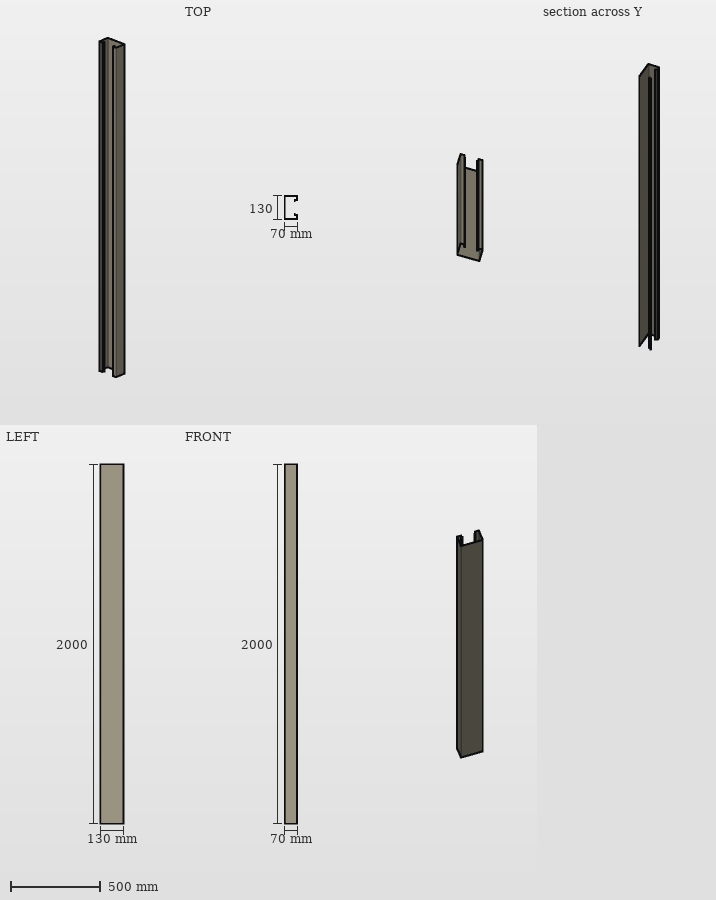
import cadquery as cq

depth = 70.0
width = 130.0
length = 2000.0
wall = 2.0
bend_inner_radius = 1.0
bend_outer_radius = bend_inner_radius + wall
lip_width = 25.0
return_depth = 15.0
tip_width = 8.0

half_width = width / 2
inner_half_width = half_width - wall
inner_depth = depth - wall
lip_edge_y = half_width - lip_width
return_inner_y = lip_edge_y + wall
return_edge_x = depth - return_depth
tip_edge_y = return_inner_y - tip_width

half_section = [
    (0, 0),
    (0, half_width),
    (depth, half_width),
    (depth, lip_edge_y),
    (return_edge_x + wall, lip_edge_y),
    (return_edge_x + wall, tip_edge_y),
    (return_edge_x, tip_edge_y),
    (return_edge_x, return_inner_y),
    (inner_depth, return_inner_y),
    (inner_depth, inner_half_width),
    (wall, inner_half_width),
    (wall, 0),
]


def round_edge(body, x, y, radius):
    """Fillet the lengthwise edge that passes through (x, y)."""
    edge_finder = cq.selectors.NearestToPointSelector((x, y, length / 2))
    return body.edges("|Z").edges(edge_finder).fillet(radius)


def make_half_channel():
    """The +Y half, with rounded bends at both sides of its flange."""
    body = cq.Workplane("XY").polyline(half_section).close().extrude(length)
    for outer_x, inner_x in ((0, wall), (depth, inner_depth)):
        body = round_edge(body, outer_x, half_width, bend_outer_radius)
        body = round_edge(body, inner_x, inner_half_width, bend_inner_radius)
    return body


half_channel = make_half_channel()
result = half_channel.union(half_channel.mirror("XZ")).clean()